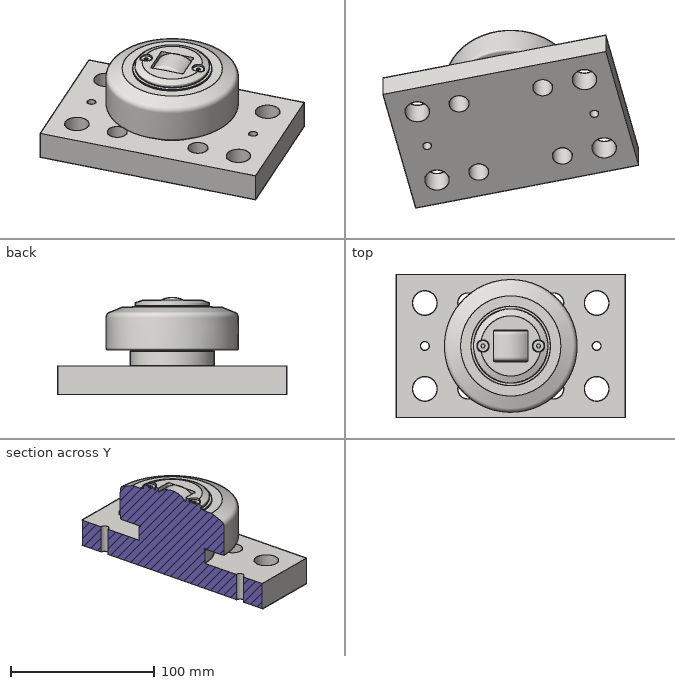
import cadquery as cq

plate_length = 160.0
plate_width = 100.0
plate_height = 20.0
hole_row_x = 60.0
hole_row_y = 30.0
bolt_hole_diameter = 17.0
tapped_hole_x = 30.0
tapped_hole_diameter = 13.84
pin_hole_diameter = 6.0

neck_diameter = 59.0
neck_top = 30.5
neck_chamfer = 0.4
core_diameter = 57.0

roller_diameter = 92.8
roller_bottom = 31.0
roller_top = 61.0
roller_flat_diameter = 70.0
cone_edge_diameter = 87.0
cone_edge_height = 57.6
bottom_fillet = 1.5
tread_bottom = roller_bottom + bottom_fillet
tread_top = 53.8
tread_crown = 0.1

seal_bore_diameter = 55.5
seal_gap_depth = 0.5
ring_diameter = 55.3
ring_height = 0.6
cap_diameter = 52.0
cap_top = 66.0
cap_flat_diameter = 42.0
cap_edge_height = 64.0
groove_diameter = 51.0
groove_top = 62.1
cap_edge_radius = 0.5

screw_x = 19.4
seat_diameter = 8.6
seat_depth = 2.5
screw_head_diameter = 7.8
screw_head_recess = 1.1
socket_sides = 6
socket_across_corners = 2.9
socket_depth = 1.0

window_length = 24.0
window_width = 22.1
window_corner_radius = 1.0
window_depth = 6.0
side_roller_top = 68.0
side_roller_radius = 17.0
side_roller_length = 21.2
side_roller_edge_radius = 2.6
side_roller_crown = 0.1


def disc(diameter, bottom, top):
    return cq.Workplane("XY").workplane(offset=bottom).circle(diameter / 2).extrude(top - bottom)


def drilled_plate():
    plate = cq.Workplane("XY").box(plate_length, plate_width, plate_height, centered=(True, True, False))
    hole_groups = (
        (bolt_hole_diameter, hole_row_x, (-hole_row_y, hole_row_y)),
        (tapped_hole_diameter, tapped_hole_x, (-hole_row_y, hole_row_y)),
        (pin_hole_diameter, hole_row_x, (0,)),
    )
    for diameter, x, y_positions in hole_groups:
        points = [(side * x, y) for side in (-1, 1) for y in y_positions]
        holes = cq.Workplane("XY").pushPoints(points).circle(diameter / 2).extrude(plate_height)
        plate = plate.cut(holes)
    return plate


def neck():
    core = disc(core_diameter, plate_height, roller_bottom)
    collar = disc(neck_diameter, plate_height, neck_top).faces("<Z or >Z").chamfer(neck_chamfer)
    return collar.union(core)


def main_roller():
    outer_radius = roller_diameter / 2
    tread_edge_radius = outer_radius - tread_crown
    cone_edge_radius = cone_edge_diameter / 2
    flat_radius = roller_flat_diameter / 2
    profile = (
        cq.Workplane("XZ")
        .moveTo(0, roller_bottom)
        .lineTo(tread_edge_radius - bottom_fillet, roller_bottom)
        .radiusArc((tread_edge_radius, tread_bottom), -bottom_fillet)
        .threePointArc((outer_radius, (tread_bottom + tread_top) / 2), (tread_edge_radius, tread_top))
        .tangentArcPoint((cone_edge_radius, cone_edge_height), relative=False)
        .lineTo(flat_radius, roller_top)
        .lineTo(0, roller_top)
        .close()
    )
    return profile.revolve(360, (0, 0), (0, 1))


def seal_gap():
    gap_bottom = roller_top - seal_gap_depth
    return disc(seal_bore_diameter, gap_bottom, roller_top).cut(disc(ring_diameter, gap_bottom, roller_top))


def end_cap():
    ring = disc(ring_diameter, roller_top, roller_top + ring_height)
    groove = disc(groove_diameter, roller_top, groove_top)
    cap_radius = cap_diameter / 2
    profile = (
        cq.Workplane("XZ")
        .moveTo(0, groove_top)
        .lineTo(cap_radius, groove_top)
        .lineTo(cap_radius, cap_edge_height)
        .lineTo(cap_flat_diameter / 2, cap_top)
        .lineTo(0, cap_top)
        .close()
    )
    cap = profile.revolve(360, (0, 0), (0, 1))
    cap = cap.faces("%CONE").edges("<Z").fillet(cap_edge_radius)
    return ring.union(groove).union(cap)


def screw_seat(x):
    seat = disc(seat_diameter, cap_top - seat_depth, cap_top)
    head_top = cap_top - screw_head_recess
    head = disc(screw_head_diameter, cap_top - seat_depth, head_top)
    socket = (
        cq.Workplane("XY")
        .workplane(offset=head_top - socket_depth)
        .polygon(socket_sides, socket_across_corners)
        .extrude(socket_depth)
    )
    return seat.cut(head.cut(socket)).translate((x, 0, 0))


def window(top):
    bottom = cap_top - window_depth
    return (
        cq.Workplane("XY")
        .workplane(offset=bottom)
        .rect(window_length, window_width)
        .extrude(top - bottom)
        .edges("|Z")
        .fillet(window_corner_radius)
    )


def side_roller():
    half_length = side_roller_length / 2
    crown_end = half_length - side_roller_edge_radius
    crown_end_radius = side_roller_radius - side_roller_crown
    end_face_radius = crown_end_radius - side_roller_edge_radius
    profile = (
        cq.Workplane("YZ")
        .moveTo(-half_length, 0)
        .lineTo(-half_length, end_face_radius)
        .radiusArc((-crown_end, crown_end_radius), side_roller_edge_radius)
        .threePointArc((0, side_roller_radius), (crown_end, crown_end_radius))
        .radiusArc((half_length, end_face_radius), side_roller_edge_radius)
        .lineTo(half_length, 0)
        .close()
    )
    roller = profile.revolve(360, (0, 0), (1, 0)).translate((0, 0, side_roller_top - side_roller_radius))
    return roller.intersect(window(side_roller_top))


result = drilled_plate().union(neck()).union(main_roller()).cut(seal_gap()).union(end_cap())
for side in (-1, 1):
    result = result.cut(screw_seat(side * screw_x))
result = result.cut(window(cap_top)).union(side_roller())